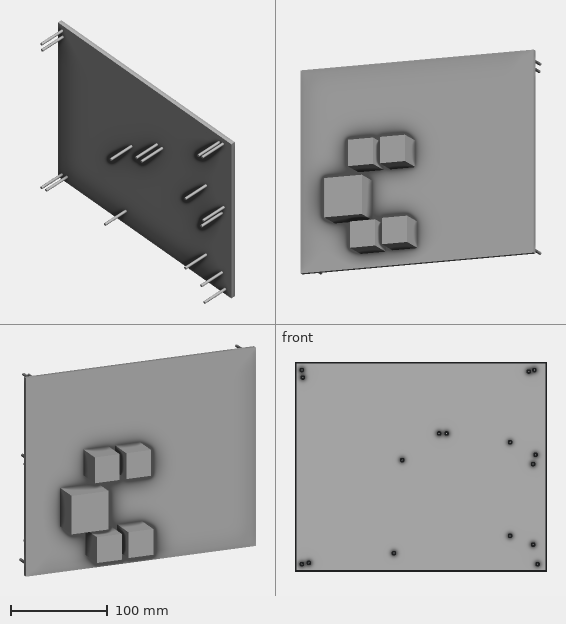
import cadquery as cq

PLATE_WIDTH = 259.7
PLATE_HEIGHT = 215.8
PLATE_THICKNESS = 5.0
TOTAL_DEPTH = 65.0

PROJECTION = (TOTAL_DEPTH - PLATE_THICKNESS) / 2

PIN_DIAMETER = 3.0
PIN_CENTRES = [
    (6.5, 208.3),
    (247.2, 208.3),
    (241.5, 206.7),
    (7.5, 200.5),
    (148.5, 142.5),
    (156.3, 142.5),
    (222.0, 133.5),
    (248.5, 120.5),
    (110.5, 115.0),
    (246.0, 111.0),
    (222.0, 36.5),
    (246.0, 27.5),
    (101.8, 18.7),
    (13.8, 8.5),
    (6.5, 7.3),
    (250.5, 7.3),
]

SMALL_BLOCK = 28.0
LARGE_BLOCK = 41.8
BLOCK_PITCH = 35.5
UPPER_ROW_LEFT = 131.5
UPPER_ROW_BOTTOM = 102.0
LOWER_ROW_LEFT = 129.0
LOWER_ROW_BOTTOM = 15.8
LOWER_ROW_STEP = 0.8
LARGE_BLOCK_RIGHT = 221.3
LARGE_BLOCK_BOTTOM = 49.9


def make_block(left, bottom, size):
    """Square block on the back face, given its lower left corner."""
    return (
        cq.Workplane("XY")
        .box(size, PROJECTION, size, centered=False)
        .translate((left, PLATE_THICKNESS, bottom))
    )


def make_pins():
    """Round pins projecting forward from the front face."""
    return (
        cq.Workplane("XZ")
        .pushPoints(PIN_CENTRES)
        .circle(PIN_DIAMETER / 2)
        .extrude(PROJECTION)
    )


plate = cq.Workplane("XY").box(PLATE_WIDTH, PLATE_THICKNESS, PLATE_HEIGHT, centered=False)
result = plate.union(make_pins())

for column in range(2):
    shift = column * BLOCK_PITCH
    lower_bottom = LOWER_ROW_BOTTOM - column * LOWER_ROW_STEP
    result = result.union(make_block(UPPER_ROW_LEFT + shift, UPPER_ROW_BOTTOM, SMALL_BLOCK))
    result = result.union(make_block(LOWER_ROW_LEFT + shift, lower_bottom, SMALL_BLOCK))

large_block_left = LARGE_BLOCK_RIGHT - LARGE_BLOCK
result = result.union(make_block(large_block_left, LARGE_BLOCK_BOTTOM, LARGE_BLOCK))